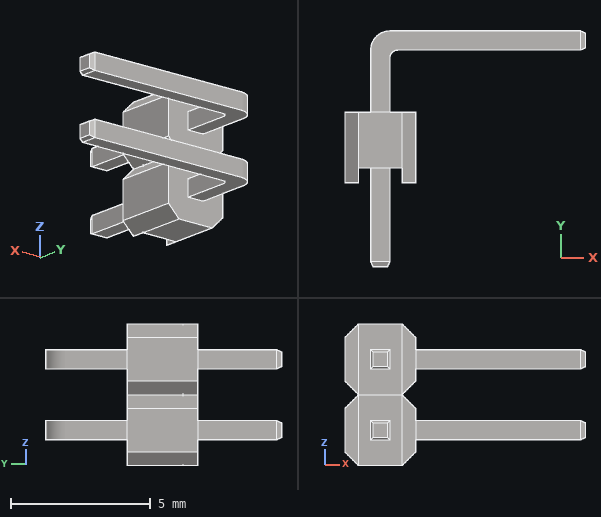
import cadquery as cq

total_height = 5.08
total_length_x = 8.62
total_length_y = 8.45
position_count = 2
pitch = total_height / position_count

housing_side = pitch
housing_chamfer = 0.49
recess_width = housing_side - 2 * housing_chamfer
recess_depth = 0.535

pin_width = 0.7
front_reach = 3.0
bend_outer_radius = 0.7
bend_inner_radius = 0.28
tip_length = 0.19
tip_inset = 0.09

pin_left = (housing_side - pin_width) / 2
pin_right = pin_left + pin_width
pin_back = total_length_y - front_reach
pin_inner = pin_back - pin_width


def make_housing():
    """Octagonal block with a full-height recess in its front face."""
    block = (
        cq.Workplane("XY")
        .box(housing_side, housing_side, housing_side, centered=(False, False, True))
        .edges("|Y")
        .chamfer(housing_chamfer)
    )
    recess = (
        cq.Workplane("XY")
        .box(recess_width, recess_depth, housing_side, centered=(False, False, True))
        .translate((housing_chamfer, 0, 0))
    )
    return block.cut(recess)


def make_tip(origin, direction):
    """Tapered end of a pin, from its full square section to a smaller square."""
    base = cq.Plane(origin=origin, xDir=(0, 0, 1), normal=direction)
    end_width = pin_width - 2 * tip_inset
    return (
        cq.Workplane(base)
        .rect(pin_width, pin_width)
        .workplane(offset=tip_length)
        .rect(end_width, end_width)
        .loft(ruled=True)
    )


def make_pin():
    """Pin running back through the housing, then bent to +X."""
    front_end = -front_reach + tip_length
    side_end = total_length_x - tip_length
    bar = (
        cq.Workplane("XY")
        .moveTo(pin_left, front_end)
        .lineTo(pin_right, front_end)
        .lineTo(pin_right, pin_inner)
        .lineTo(side_end, pin_inner)
        .lineTo(side_end, pin_back)
        .lineTo(pin_left, pin_back)
        .close()
        .extrude(pin_width / 2, both=True)
    )
    inner_corner = cq.selectors.NearestToPointSelector((pin_right, pin_inner, 0))
    outer_corner = cq.selectors.NearestToPointSelector((pin_left, pin_back, 0))
    bar = bar.edges("|Z").edges(outer_corner).fillet(bend_outer_radius)
    bar = bar.edges("|Z").edges(inner_corner).fillet(bend_inner_radius)

    front_tip = make_tip((housing_side / 2, front_end, 0), (0, -1, 0))
    side_tip = make_tip((side_end, pin_back - pin_width / 2, 0), (1, 0, 0))
    return bar.union(front_tip).union(side_tip)


def make_position(index):
    """One header position: housing and pin in one piece, stacked along Z."""
    center_z = (index - (position_count - 1) / 2) * pitch
    return make_housing().union(make_pin()).translate((0, 0, center_z))


positions = [make_position(index) for index in range(position_count)]

result = cq.Compound.makeCompound([position.solids().val() for position in positions])